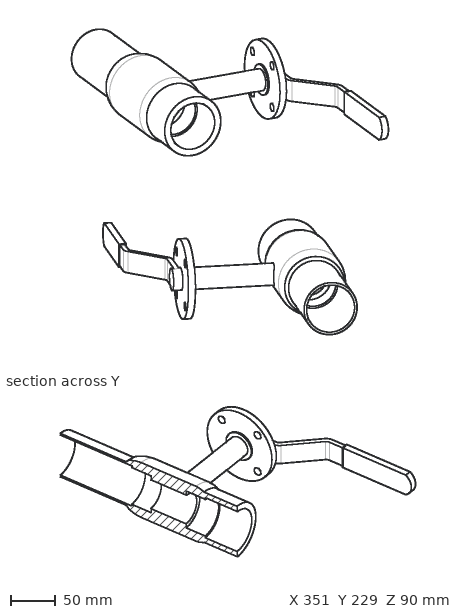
import cadquery as cq
import math


VALVE_LENGTH = 245.0
LEFT_PIPE_DIA = 60.5
RIGHT_PIPE_DIA = 70.0
SHELL_DIA = 76.0
CHAMFER_START = 91.3
CHAMFER_LENGTH = 3.5
CHAMFER_TOP_DIA = 67.7
SHELL_START = 111.5
SHELL_END = 187.8
RIGHT_NECK = 199.5

PIPE_BORE_DIA = 54.5
SEAT_BORE_DIA = 50.0
BALL_BORE_DIA = 39.0
SEAT_HALF_SPAN = 51.0
BALL_HALF_SPAN = 24.5

STEM_X = 150.0
STEM_DIA = 25.0
FLANGE_DIA = 90.0
FLANGE_THICKNESS = 8.0
FLANGE_TOP_Y = 141.0
HUB_DIA = 35.0
HUB_HEIGHT = 1.8
BOLT_HOLE_DIA = 9.0
BOLT_CIRCLE_DIA = 70.2
BOLT_COUNT = 4

HEAD_TOP_Y = 151.5
STRIP_WIDTH = STEM_DIA
STRIP_THICKNESS = 6.0
STRIP_LOW_Y = 143.2
STRIP_HIGH_Y = 184.0
HEEL_LENGTH = 4.2
CRANK_START_X = 193.5
CRANK_ANGLE = 45.0
BEND_RADIUS = 6.0
GRIP_START_X = 255.5
GRIP_END_X = 351.0
GRIP_SHOULDER_X = 343.3
GRIP_WIDTH = 27.0
GRIP_THICKNESS = 8.0


def disc_along_y(diameter, y_start, y_end):
    """Cylinder about the stem axis between two heights."""
    plane = cq.Workplane("XZ", origin=(STEM_X, y_start, 0))
    return plane.circle(diameter / 2).extrude(y_start - y_end)


def tangent_arc_middle(x_crest, r_crest, x_end, r_end):
    """Point halfway along the length of an arc that leaves the crest parallel to X."""
    run = x_end - x_crest
    drop = r_crest - r_end
    radius = (run**2 + drop**2) / (2 * drop)
    half_run = run / 2
    return x_crest + half_run, r_crest - radius + math.sqrt(radius**2 - half_run**2)


def make_shell():
    shell_r = SHELL_DIA / 2
    left_r = LEFT_PIPE_DIA / 2
    right_r = RIGHT_PIPE_DIA / 2
    shoulder_x = CHAMFER_START + CHAMFER_LENGTH
    shoulder_r = CHAMFER_TOP_DIA / 2
    profile = (
        cq.Workplane("XY")
        .moveTo(0, 0)
        .lineTo(0, left_r)
        .lineTo(CHAMFER_START, left_r)
        .lineTo(shoulder_x, shoulder_r)
        .threePointArc(
            tangent_arc_middle(SHELL_START, shell_r, shoulder_x, shoulder_r),
            (SHELL_START, shell_r),
        )
        .lineTo(SHELL_END, shell_r)
        .threePointArc(
            tangent_arc_middle(SHELL_END, shell_r, RIGHT_NECK, right_r),
            (RIGHT_NECK, right_r),
        )
        .lineTo(VALVE_LENGTH, right_r)
        .lineTo(VALVE_LENGTH, 0)
        .close()
    )
    return profile.revolve(360, (0, 0, 0), (1, 0, 0))


def bore_along_x(diameter, x_start, x_end):
    plane = cq.Workplane("YZ", origin=(x_start, 0, 0))
    return plane.circle(diameter / 2).extrude(x_end - x_start)


def make_bolt_holes():
    plane = cq.Workplane("XZ", origin=(STEM_X, FLANGE_TOP_Y, 0))
    centres = plane.polarArray(BOLT_CIRCLE_DIA / 2, 180 / BOLT_COUNT, 360, BOLT_COUNT)
    return centres.circle(BOLT_HOLE_DIA / 2).extrude(FLANGE_THICKNESS)


def make_valve():
    flange_bottom_y = FLANGE_TOP_Y - FLANGE_THICKNESS
    valve = make_shell()
    valve = valve.union(disc_along_y(STEM_DIA, 0, FLANGE_TOP_Y))
    valve = valve.union(disc_along_y(HUB_DIA, flange_bottom_y - HUB_HEIGHT, FLANGE_TOP_Y))
    valve = valve.union(disc_along_y(FLANGE_DIA, flange_bottom_y, FLANGE_TOP_Y))
    valve = valve.cut(make_bolt_holes())
    valve = valve.cut(bore_along_x(BALL_BORE_DIA, 0, VALVE_LENGTH))
    for bore_dia, half_span in ((SEAT_BORE_DIA, BALL_HALF_SPAN), (PIPE_BORE_DIA, SEAT_HALF_SPAN)):
        valve = valve.cut(bore_along_x(bore_dia, 0, STEM_X - half_span))
        valve = valve.cut(bore_along_x(bore_dia, STEM_X + half_span, VALVE_LENGTH))
    return valve


def make_strip():
    """Flat bar with two opposite bends, running from the stem axis into the grip."""
    rise = STRIP_HIGH_Y - STRIP_LOW_Y
    crank_end_x = CRANK_START_X + rise / math.tan(math.radians(CRANK_ANGLE))
    corner_shift = STRIP_THICKNESS * math.tan(math.radians(CRANK_ANGLE / 2))
    low_top_y = STRIP_LOW_Y + STRIP_THICKNESS
    high_top_y = STRIP_HIGH_Y + STRIP_THICKNESS
    outline = [
        (STEM_X, STRIP_LOW_Y),
        (CRANK_START_X, STRIP_LOW_Y),
        (crank_end_x, STRIP_HIGH_Y),
        (GRIP_SHOULDER_X, STRIP_HIGH_Y),
        (GRIP_SHOULDER_X, high_top_y),
        (crank_end_x - corner_shift, high_top_y),
        (CRANK_START_X - corner_shift, low_top_y),
        (STEM_X, low_top_y),
    ]
    strip = cq.Workplane("XY").polyline(outline).close().extrude(STRIP_WIDTH / 2, both=True)

    outer_radius = BEND_RADIUS + STRIP_THICKNESS
    bends = [
        (CRANK_START_X, STRIP_LOW_Y, outer_radius),
        (CRANK_START_X - corner_shift, low_top_y, BEND_RADIUS),
        (crank_end_x, STRIP_HIGH_Y, BEND_RADIUS),
        (crank_end_x - corner_shift, high_top_y, outer_radius),
    ]
    for x, y, radius in bends:
        corner = cq.selectors.NearestToPointSelector((x, y, 0))
        strip = strip.edges("|Z").edges(corner).fillet(radius)
    return strip


def make_heel():
    """Block under the strip's end that rests on the flange."""
    height = STRIP_LOW_Y - FLANGE_TOP_Y
    heel = cq.Workplane("XY").box(HEEL_LENGTH, height, STRIP_WIDTH, centered=(False, False, True))
    return heel.translate((STEM_X, FLANGE_TOP_Y, 0))


def make_grip():
    half_width = GRIP_WIDTH / 2
    bottom_y = STRIP_HIGH_Y + STRIP_THICKNESS / 2 - GRIP_THICKNESS / 2
    return (
        cq.Workplane("XZ", origin=(0, bottom_y, 0))
        .moveTo(GRIP_START_X, -half_width)
        .lineTo(GRIP_SHOULDER_X, -half_width)
        .threePointArc((GRIP_END_X, 0), (GRIP_SHOULDER_X, half_width))
        .lineTo(GRIP_START_X, half_width)
        .close()
        .extrude(-GRIP_THICKNESS)
    )


def make_lever():
    head = disc_along_y(STEM_DIA, FLANGE_TOP_Y, HEAD_TOP_Y)
    return head.union(make_heel()).union(make_strip()).union(make_grip())


valve = make_valve()
lever = make_lever()

result = cq.Compound.makeCompound([valve.solids().val(), lever.solids().val()])